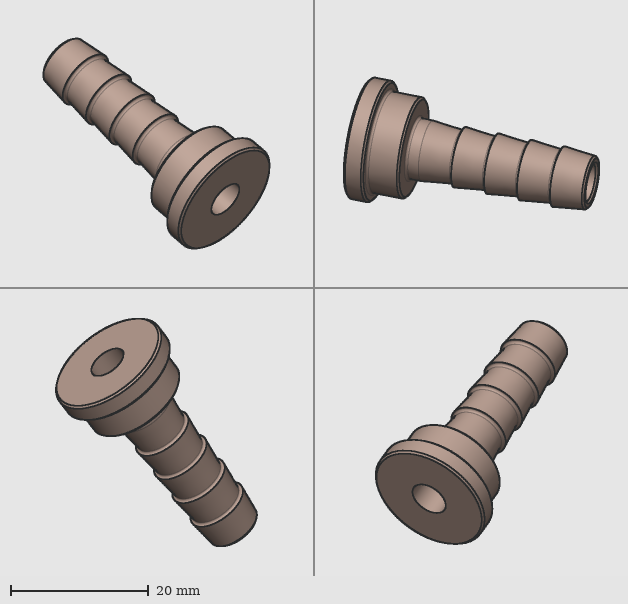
import cadquery as cq
import math

total_length = 35.0
barb_pitch = total_length / 7
barb_count = 5
flange_thickness = 3.0
collar_length = barb_pitch

flange_radius = 18.0 / 2
collar_radius = 15.0 / 2
crest_radius = 9.0 / 2
bore_radius = 5.5 / 2
root_radius = 3.95

edge_chamfer = 0.3
root_fillet = 0.4

flange_face = total_length - flange_thickness
collar_face = flange_face - collar_length
cone_angle = math.atan2(crest_radius - root_radius, barb_pitch)


def cone_radius(distance):
    """Radius of a barb's cone at a distance behind its small end."""
    return root_radius + distance * math.tan(cone_angle)


def add_root_fillet(profile, wall_x):
    """Wall behind a barb, then a concave arc tangent to the wall and the next cone."""
    center_x = wall_x + root_fillet
    center_radius = cone_radius(root_fillet) + root_fillet / math.cos(cone_angle)
    end_angle = math.pi / 2 - cone_angle
    middle_angle = end_angle + (math.pi - end_angle) / 2
    return profile.lineTo(wall_x, center_radius).threePointArc(
        (
            center_x + root_fillet * math.cos(middle_angle),
            center_radius - root_fillet * math.sin(middle_angle),
        ),
        (
            center_x + root_fillet * math.cos(end_angle),
            center_radius - root_fillet * math.sin(end_angle),
        ),
    )


def add_shoulder(profile, face_x, inner_radius, outer_radius):
    """Step up to a larger cylinder with a filleted root and a chamfered rim."""
    offset = root_fillet * (1 - math.sqrt(0.5))
    return (
        profile.lineTo(face_x - root_fillet, inner_radius)
        .threePointArc(
            (face_x - offset, inner_radius + offset),
            (face_x, inner_radius + root_fillet),
        )
        .lineTo(face_x, outer_radius - edge_chamfer)
        .lineTo(face_x + edge_chamfer, outer_radius)
    )


tip_radius = cone_radius(edge_chamfer)

profile = (
    cq.Workplane("XY")
    .moveTo(edge_chamfer, bore_radius)
    .lineTo(0, bore_radius + edge_chamfer)
    .lineTo(0, tip_radius - edge_chamfer)
    .lineTo(edge_chamfer, tip_radius)
)

for barb in range(1, barb_count):
    crest_x = barb * barb_pitch
    profile = profile.lineTo(crest_x, crest_radius)
    profile = add_root_fillet(profile, crest_x)
profile = profile.lineTo(barb_count * barb_pitch, crest_radius)

profile = add_shoulder(profile, collar_face, crest_radius, collar_radius)
profile = add_shoulder(profile, flange_face, collar_radius, flange_radius)
profile = (
    profile.lineTo(total_length - edge_chamfer, flange_radius)
    .lineTo(total_length, flange_radius - edge_chamfer)
    .lineTo(total_length, bore_radius)
    .close()
)

result = profile.revolve(360, (0, 0, 0), (1, 0, 0))